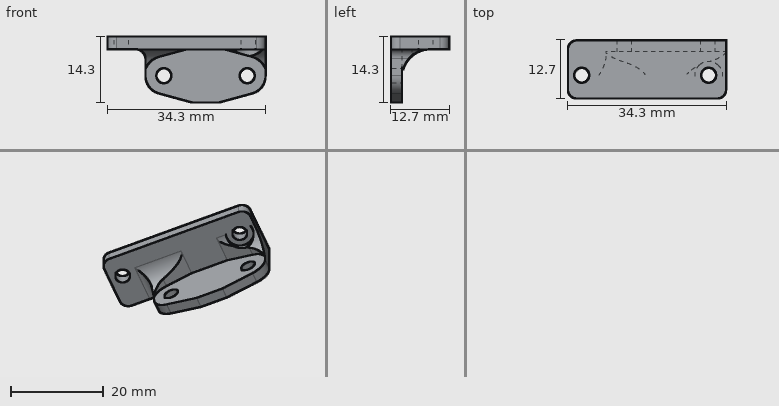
import cadquery as cq
import math

length = 34.25
depth = 12.65
height = 14.28

plate_thickness = 2.8
corner_radius = 2.0
hole_diameter = 3.2
left_hole_x = 3.0
right_hole_x = length - 3.8
plate_hole_y = 5.07
plate_bottom = height - plate_thickness

flange_thickness = 2.45
flange_width = 26.03
lug_radius = 4.0
lug_half_height = 5.8
lug_flat_half_width = 3.0
flange_left = length - flange_width
flange_middle = length - flange_width / 2
lug_hole_offset = flange_width / 2 - lug_radius
flange_front = depth - flange_thickness

gusset_radius = 6.0
side_fillet_radius = 2.0
screw_clearance_diameter = 6.0
lug_clearance = 0.2


def point_on_circle(center_x, center_z, radius, angle):
    """Point on a circle at the given angle in degrees."""
    turn = math.radians(angle)
    return center_x + radius * math.cos(turn), center_z + radius * math.sin(turn)


def make_plate():
    plate = cq.Workplane("XY").box(length, depth, plate_thickness, centered=False)
    plate = plate.edges("|Z and (<X or <Y)").fillet(corner_radius)
    return plate.translate((0, 0, plate_bottom))


def lug_tangent_point():
    """Upper right tangent point of the lug end, measured from the lug center."""
    run = lug_hole_offset - lug_flat_half_width
    flat_distance = math.hypot(run, lug_half_height)
    flat_angle = math.atan2(lug_half_height, -run)
    tangent_angle = flat_angle - math.acos(lug_radius / flat_distance)
    return (
        lug_hole_offset + lug_radius * math.cos(tangent_angle),
        lug_radius * math.sin(tangent_angle),
    )


def lug_outline(back_y):
    """Elongated outline with tapered sides and round ends, at one Y position."""
    tangent_x, tangent_z = lug_tangent_point()
    flat = lug_flat_half_width
    top = lug_half_height
    end = lug_hole_offset + lug_radius
    return (
        cq.Workplane("XZ", origin=(flange_middle, back_y, lug_half_height))
        .moveTo(-flat, top)
        .lineTo(flat, top)
        .lineTo(tangent_x, tangent_z)
        .threePointArc((end, 0), (tangent_x, -tangent_z))
        .lineTo(flat, -top)
        .lineTo(-flat, -top)
        .lineTo(-tangent_x, -tangent_z)
        .threePointArc((-end, 0), (-tangent_x, tangent_z))
        .close()
    )


def make_web():
    """Upper flange and its curved gusset, from the lug center up to the plate."""
    fillet_left = flange_left - side_fillet_radius
    fillet_bottom = plate_bottom - side_fillet_radius
    side_outline = (
        cq.Workplane("XZ", origin=(0, depth, 0))
        .moveTo(flange_left, lug_half_height)
        .lineTo(flange_left, fillet_bottom)
        .threePointArc(
            point_on_circle(fillet_left, fillet_bottom, side_fillet_radius, 45),
            (fillet_left, plate_bottom),
        )
        .lineTo(length, plate_bottom)
        .lineTo(length, lug_half_height)
        .close()
        .extrude(depth)
    )
    gusset_front = flange_front - gusset_radius
    gusset_bottom = plate_bottom - gusset_radius
    gusset_profile = (
        cq.Workplane("YZ")
        .moveTo(depth, 0)
        .lineTo(flange_front, 0)
        .lineTo(flange_front, gusset_bottom)
        .threePointArc(
            point_on_circle(gusset_front, gusset_bottom, gusset_radius, 45),
            (gusset_front, plate_bottom),
        )
        .lineTo(depth, plate_bottom)
        .close()
        .extrude(length)
    )
    return side_outline.intersect(gusset_profile)


def make_screw_clearance():
    return (
        cq.Workplane("XY")
        .center(right_hole_x, plate_hole_y)
        .circle(screw_clearance_diameter / 2)
        .extrude(plate_bottom)
    )


lug_cutter = lug_outline(flange_front).offset2D(lug_clearance).extrude(flange_front)
web = make_web().cut(lug_cutter).cut(make_screw_clearance())
lug = lug_outline(depth).extrude(flange_thickness)
result = make_plate().union(web).union(lug)

plate_holes = (
    cq.Workplane("XY")
    .pushPoints([(left_hole_x, plate_hole_y), (right_hole_x, plate_hole_y)])
    .circle(hole_diameter / 2)
    .extrude(height)
)

flange_holes = (
    cq.Workplane("XZ", origin=(flange_middle, depth, lug_half_height))
    .pushPoints([(-lug_hole_offset, 0), (lug_hole_offset, 0)])
    .circle(hole_diameter / 2)
    .extrude(depth)
)

result = result.cut(plate_holes).cut(flange_holes)